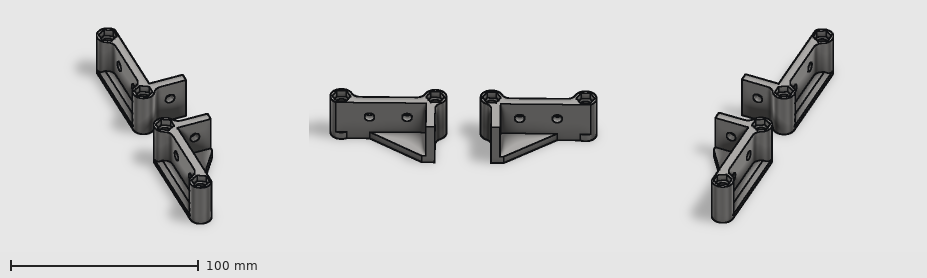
import cadquery as cq
import math

total_length = 142.0
bracket_gap = 18.0
total_depth = 30.5
height = 25.0

post_diameter = 11.9
post_radius = post_diameter / 2
post_bore = 5.0
hex_flats = 8.5
hex_corners = hex_flats / math.cos(math.pi / 6)
hex_depth = 4.0
inner_x = bracket_gap / 2 + post_radius
outer_x = total_length / 2 - post_radius
middle_x = (inner_x + outer_x) / 2

plate_thickness = 4.8
fillet_radius = 5.0
wall_front = 0.4
wall_back = wall_front + plate_thickness
blade_back = total_depth - post_radius
blade_face = inner_x + plate_thickness

mount_bore = 5.3
wall_hole_spacing = 20.0
blade_hole_y = 15.3
hole_z = 14.9

shelf_height = 4.5
shelf_length = 30.1
shelf_tip_width = 2.0
ledge_height = 5.1
ledge_bevel = 2.5


def box(x_min, x_max, y_min, y_max, z_min, z_max):
    size = (x_max - x_min, y_max - y_min, z_max - z_min)
    return cq.Workplane("XY").box(*size, centered=False).translate((x_min, y_min, z_min))


def make_posts():
    """Two solid cylinders at the ends of the wall."""
    centers = [(inner_x, 0), (outer_x, 0)]
    return cq.Workplane("XY").pushPoints(centers).circle(post_radius).extrude(height)


def make_wall_fillet(post_x, toward):
    """Concave blend from the wall's front face to a post; toward = +1 or -1 along X."""
    reach = post_radius + fillet_radius
    center_y = wall_front - fillet_radius
    center_dx = math.sqrt(reach**2 - center_y**2)
    on_post = post_radius / reach
    angle = (math.pi / 2 + math.atan2(-center_y, -center_dx)) / 2
    mid_dx = center_dx + fillet_radius * math.cos(angle)
    mid_y = center_y + fillet_radius * math.sin(angle)
    return (
        cq.Workplane("XY")
        .moveTo(post_x, wall_front)
        .lineTo(post_x + toward * center_dx, wall_front)
        .threePointArc(
            (post_x + toward * mid_dx, mid_y),
            (post_x + toward * center_dx * on_post, center_y * on_post),
        )
        .lineTo(post_x, 0)
        .close()
        .extrude(height)
    )


def make_blade_fillet():
    """Concave blend from the blade's outer face to the inner post."""
    reach = post_radius + fillet_radius
    center_y = math.sqrt(reach**2 - fillet_radius**2)
    on_post = post_radius / reach
    angle = (math.pi + math.atan2(center_y, fillet_radius) + math.pi) / 2
    return (
        cq.Workplane("XY")
        .moveTo(inner_x, 0)
        .lineTo(inner_x, center_y)
        .threePointArc(
            (
                inner_x - fillet_radius - fillet_radius * math.cos(angle),
                center_y + fillet_radius * math.sin(angle),
            ),
            (inner_x - fillet_radius * on_post, center_y * on_post),
        )
        .close()
        .extrude(height)
    )


def make_shelf():
    """Low triangular web joining the wall to the blade."""
    outline = [
        (blade_face, wall_back),
        (blade_face + shelf_length, wall_back),
        (blade_face + shelf_tip_width, blade_back),
        (blade_face, blade_back),
    ]
    return cq.Workplane("XY").polyline(outline).close().extrude(shelf_height)


def make_ledge():
    """Low ledge in front of the wall, bevelled along its front edge."""
    profile = [
        (wall_front, 0),
        (-post_radius, 0),
        (-post_radius, ledge_height - ledge_bevel),
        (-post_radius + ledge_bevel, ledge_height),
        (wall_front, ledge_height),
    ]
    ledge = cq.Workplane("YZ").polyline(profile).close().extrude(outer_x - inner_x)
    return ledge.translate((inner_x, 0, 0))


def cut_post_bores(body):
    """Through bore with a hexagonal nut recess at the top of each post."""
    for post_x in (inner_x, outer_x):
        bore = cq.Workplane("XY").center(post_x, 0).circle(post_bore / 2).extrude(height)
        recess = (
            cq.Workplane("XY", origin=(post_x, 0, height - hex_depth))
            .polygon(6, hex_corners)
            .extrude(hex_depth)
        )
        body = body.cut(bore).cut(recess)
    return body


def cut_mounting_holes(body):
    """Two holes through the wall and one through the blade."""
    for side in (-1, 1):
        hole_x = middle_x + side * wall_hole_spacing / 2
        wall_hole = (
            cq.Workplane("XZ", origin=(hole_x, wall_back, hole_z))
            .circle(mount_bore / 2)
            .extrude(plate_thickness)
        )
        body = body.cut(wall_hole)
    blade_hole = (
        cq.Workplane("YZ", origin=(inner_x, blade_hole_y, hole_z))
        .circle(mount_bore / 2)
        .extrude(plate_thickness)
    )
    return body.cut(blade_hole)


def make_bracket():
    """Bracket on the +X side."""
    body = make_posts()
    body = body.union(box(inner_x, outer_x, wall_front, wall_back, 0, height))
    body = body.union(make_wall_fillet(inner_x, 1))
    body = body.union(make_wall_fillet(outer_x, -1))
    body = body.union(box(inner_x, blade_face, 0, blade_back, 0, height))
    body = body.union(make_blade_fillet())
    body = body.union(make_shelf())
    body = body.union(make_ledge())
    seat = box(blade_face, total_length / 2, wall_back, blade_back, shelf_height, height)
    body = body.cut(seat)
    return cut_mounting_holes(cut_post_bores(body))


right_bracket = make_bracket()
left_bracket = right_bracket.mirror("YZ")

result = cq.Compound.makeCompound([left_bracket.val(), right_bracket.val()])